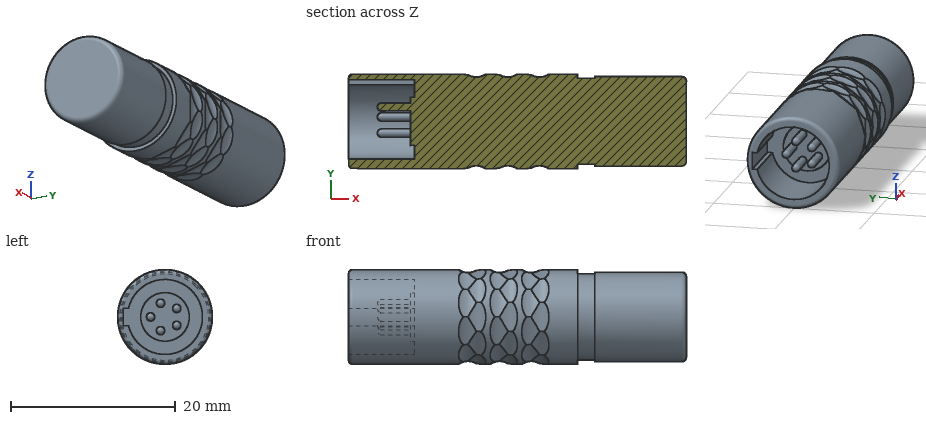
import cadquery as cq
import math

total_length = 41.0
body_radius = 5.75
body_length = 27.8
front_edge_radius = 0.5
groove_radius = 5.25
groove_length = 2.1
rear_radius = 5.45
rear_edge_radius = 0.6

bore_radius = 4.55
bore_depth = 8.0
keyway_width = 2.1
keyway_reach = 5.05

insert_radius = 2.95
insert_height = 0.5
pin_count = 5
pin_radius = 0.5
pin_circle_radius = 1.75
pin_tip_depth = 3.5

scallops_per_ring = 10
scallop_radius = 2.0
scallop_depth = 0.36
scallop_pitch_angle = 360.0 / scallops_per_ring
ring_pair_count = 3
ring_pair_pitch = 3.83
ring_spacing = 1.0
first_ring_x = 14.5


def make_rod(x_start, x_end, radius):
    """Cylinder along the X axis."""
    return cq.Workplane("YZ", origin=(x_start, 0, 0)).circle(radius).extrude(x_end - x_start)


def make_shell():
    """Body, groove and rear sleeve with rounded end edges."""
    groove_end = body_length + groove_length
    body = make_rod(0, body_length, body_radius).faces("<X").edges().fillet(front_edge_radius)
    groove = make_rod(body_length, groove_end, groove_radius)
    rear = make_rod(groove_end, total_length, rear_radius).faces(">X").edges().fillet(rear_edge_radius)
    return body.union(groove).union(rear)


def make_socket():
    """Cutter for the bore and the keyway on its +Y side."""
    keyway = cq.Workplane("XY").box(
        bore_depth, keyway_reach, keyway_width, centered=(False, False, True)
    )
    return make_rod(0, bore_depth, bore_radius).union(keyway)


def make_pin(angle):
    """Round-tipped contact pin, running through the insert to the socket floor."""
    y = pin_circle_radius * math.cos(angle)
    z = pin_circle_radius * math.sin(angle)
    tip_center_x = pin_tip_depth + pin_radius
    tip = cq.Workplane("XY").sphere(pin_radius).translate((tip_center_x, 0, 0))
    pin = make_rod(tip_center_x, bore_depth, pin_radius).union(tip)
    return pin.translate((0, y, z))


def make_scallop_ring(ring_x, start_angle):
    """Cutters whose axes run tangentially around the body."""
    axis_distance = body_radius - scallop_depth + scallop_radius
    cutter_length = 2 * axis_distance * math.tan(math.radians(scallop_pitch_angle / 2))
    cutter = (
        cq.Workplane("XZ", origin=(ring_x, cutter_length / 2, axis_distance))
        .circle(scallop_radius)
        .extrude(cutter_length)
    )
    return [
        cutter.rotate((0, 0, 0), (1, 0, 0), start_angle + index * scallop_pitch_angle)
        for index in range(scallops_per_ring)
    ]


def cut_grip(part):
    """Cut all ring pairs, with the second ring of each pair staggered by half a scallop."""
    for pair in range(ring_pair_count):
        ring_x = first_ring_x + pair * ring_pair_pitch
        cutters = make_scallop_ring(ring_x, 0)
        cutters += make_scallop_ring(ring_x + ring_spacing, scallop_pitch_angle / 2)
        for cutter in cutters:
            part = part.cut(cutter)
    return part


def add_contacts(part):
    """Raised insert disc on the socket floor, carrying the ring of pins."""
    part = part.union(make_rod(bore_depth - insert_height, bore_depth, insert_radius))
    for index in range(pin_count):
        part = part.union(make_pin(2 * math.pi * index / pin_count))
    return part


grip_shell = cut_grip(make_shell())
result = add_contacts(grip_shell.cut(make_socket()))